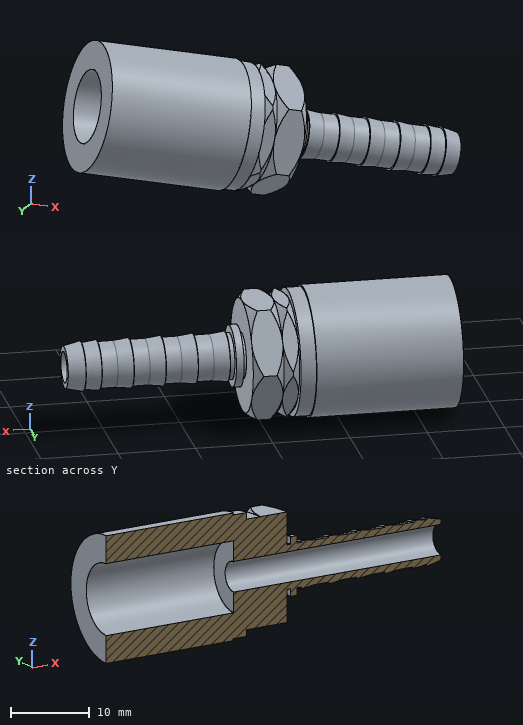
import cadquery as cq
import math

total_length = 50.0

sleeve_radius = 8.5
sleeve_end = 19.0
collar_radius = 8.25
collar_end = 21.0

hex_corner_radius = sleeve_radius
hex_flat_radius = hex_corner_radius * math.cos(math.pi / 6)
locknut_end = 23.0
nut_end = 27.0

tail_radius = 3.0
flange_radius = 4.0
flange_start = 27.5
flange_end = 28.5

barb_count = 5
barb_start = 29.1
barb_pitch = 4.15
barb_length = barb_pitch / 2
barb_radius = 3.25
tip_start = barb_start + (barb_count - 1) * barb_pitch + barb_length
tip_end_radius = 2.75

socket_radius = 4.75
socket_depth = sleeve_end
passage_radius = 2.0


def cylinder(start, end, radius):
    """Solid cylinder along X between two stations."""
    return cq.Workplane("YZ", origin=(start, 0, 0)).circle(radius).extrude(end - start)


def bevelled_hex(start, end):
    """Hexagonal prism along X whose corners are bevelled at 45 degrees at both ends."""
    prism = (
        cq.Workplane("YZ", origin=(start, 0, 0))
        .polygon(6, 2 * hex_corner_radius)
        .extrude(end - start)
    )
    half_length = (end - start) / 2
    envelope = (
        cq.Workplane("XZ")
        .moveTo(start, 0)
        .lineTo(start, hex_flat_radius)
        .lineTo(start + half_length, hex_flat_radius + half_length)
        .lineTo(end, hex_flat_radius)
        .lineTo(end, 0)
        .close()
        .revolve(360, (0, 0, 0), (1, 0, 0))
    )
    return prism.intersect(envelope)


def barb(start, end, end_radius):
    """Ring of full barb radius at its start, tapering to end_radius."""
    return (
        cq.Workplane("XZ")
        .moveTo(start, 0)
        .lineTo(start, barb_radius)
        .lineTo(end, end_radius)
        .lineTo(end, 0)
        .close()
        .revolve(360, (0, 0, 0), (1, 0, 0))
    )


body = cylinder(0, sleeve_end, sleeve_radius)
body = body.union(cylinder(sleeve_end, collar_end, collar_radius))
body = body.union(bevelled_hex(collar_end, locknut_end))
body = body.union(bevelled_hex(locknut_end, nut_end))

body = body.union(cylinder(nut_end, tip_start, tail_radius))
body = body.union(cylinder(flange_start, flange_end, flange_radius))
for index in range(barb_count):
    edge = barb_start + index * barb_pitch
    body = body.union(barb(edge, edge + barb_length, tail_radius))
body = body.union(barb(tip_start, total_length, tip_end_radius))

body = body.cut(cylinder(0, socket_depth, socket_radius))
result = body.cut(cylinder(0, total_length, passage_radius))